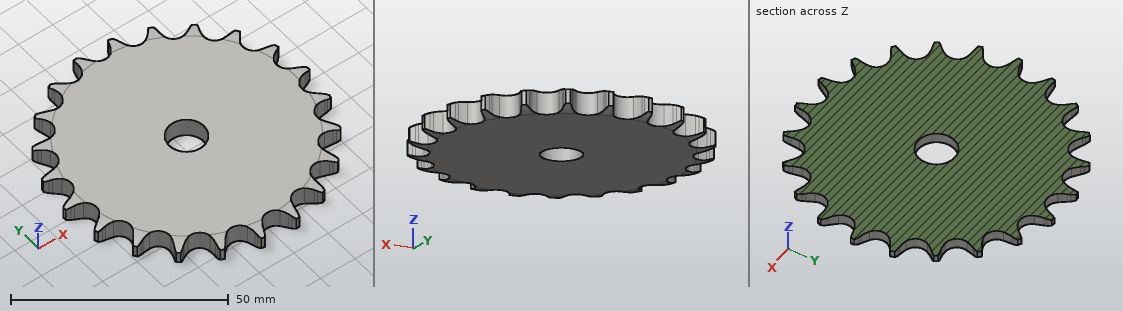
import cadquery as cq
import math

tooth_count = 22
tip_radius = 35.5
thickness = 5.3
bore_diameter = 10.0

pitch_radius = 33.45
seat_radius = 3.2
seat_half_angle = math.radians(90 - (35 + 60 / tooth_count))
flank_radius = 8.3
flank_sweep = math.radians(18 - 56 / tooth_count)
straight_length = 0.8
topping_radius = 5.25

side_radius = 10.0
side_drop = 1.0

tooth_pitch = 2 * math.pi / tooth_count


def polar(radius, angle):
    """Point at a radius and angle about the origin."""
    return radius * math.cos(angle), radius * math.sin(angle)


def offset(point, distance, angle):
    """Point moved by a distance in the direction of an angle."""
    dx, dy = polar(distance, angle)
    return point[0] + dx, point[1] + dy


def rotated(point, angle):
    """Point turned about the origin."""
    return polar(math.hypot(*point), math.atan2(point[1], point[0]) + angle)


def half_gap_points():
    """Points from tip to root along the lower half of a tooth gap whose centre line lies on +X."""
    seat_center = (pitch_radius, 0)
    root = (pitch_radius - seat_radius, 0)
    seat_end_angle = math.pi + seat_half_angle
    seat_end = offset(seat_center, seat_radius, seat_end_angle)

    flank_center = offset(seat_end, -flank_radius, seat_end_angle)
    flank_middle = offset(flank_center, flank_radius, seat_end_angle + flank_sweep / 2)
    flank_end_angle = seat_end_angle + flank_sweep
    flank_end = offset(flank_center, flank_radius, flank_end_angle)
    straight_end = offset(flank_end, straight_length, flank_end_angle + math.pi / 2)

    topping_center = offset(straight_end, topping_radius, flank_end_angle)
    center_distance = math.hypot(*topping_center)
    center_angle = math.atan2(topping_center[1], topping_center[0])
    cosine = (center_distance**2 + tip_radius**2 - topping_radius**2) / (2 * center_distance * tip_radius)
    tip_corner = polar(tip_radius, center_angle + math.acos(cosine))
    topping_start_angle = flank_end_angle - math.pi
    topping_end_angle = math.atan2(tip_corner[1] - topping_center[1], tip_corner[0] - topping_center[0])
    topping_middle_angle = (topping_start_angle + topping_end_angle) / 2
    topping_middle = offset(topping_center, topping_radius, topping_middle_angle)

    return tip_corner, topping_middle, straight_end, flank_end, flank_middle, seat_end, root


def toothed_plate():
    """Flat plate with the full tooth outline, one gap and one tooth tip per step."""
    lower_half = half_gap_points()
    upper_half = [(x, -y) for x, y in lower_half]
    first_gap_angle = tooth_pitch / 2
    start = rotated(lower_half[0], first_gap_angle)
    outline = cq.Workplane("XY", origin=(0, 0, -thickness / 2)).moveTo(*start)
    for index in range(tooth_count):
        gap_angle = first_gap_angle + index * tooth_pitch
        lower = [rotated(point, gap_angle) for point in lower_half]
        upper = [rotated(point, gap_angle) for point in upper_half]
        _, topping_middle, straight_end, flank_end, flank_middle, seat_end, root = lower
        far_tip, far_topping, far_straight, far_flank_end, far_flank, far_seat_end, _ = upper
        tip_middle = polar(tip_radius, gap_angle + tooth_pitch / 2)
        next_tip = rotated(lower_half[0], gap_angle + tooth_pitch)
        outline = (
            outline.threePointArc(topping_middle, straight_end)
            .lineTo(*flank_end)
            .threePointArc(flank_middle, seat_end)
            .threePointArc(root, far_seat_end)
            .threePointArc(far_flank, far_flank_end)
            .lineTo(*far_straight)
            .threePointArc(far_topping, far_tip)
            .threePointArc(tip_middle, next_tip)
        )
    return outline.close().extrude(thickness)


def side_envelope():
    """Disc with convex rounded rims that thins the teeth toward their tips."""
    half_thickness = thickness / 2
    rim_half_height = half_thickness - side_drop
    rounding_width = math.sqrt(side_radius**2 - (side_radius - side_drop) ** 2)
    flat_radius = tip_radius - rounding_width
    middle_angle = math.asin(rounding_width / side_radius) / 2
    middle_radius = flat_radius + side_radius * math.sin(middle_angle)
    middle_height = half_thickness - side_radius * (1 - math.cos(middle_angle))
    return (
        cq.Workplane("XZ")
        .moveTo(0, -half_thickness)
        .lineTo(flat_radius, -half_thickness)
        .threePointArc((middle_radius, -middle_height), (tip_radius, -rim_half_height))
        .lineTo(tip_radius, rim_half_height)
        .threePointArc((middle_radius, middle_height), (flat_radius, half_thickness))
        .lineTo(0, half_thickness)
        .close()
        .revolve(360, (0, 0, 0), (0, 1, 0))
    )


bore = cq.Workplane("XY").circle(bore_diameter / 2).extrude(thickness, both=True)

result = toothed_plate().intersect(side_envelope()).cut(bore)